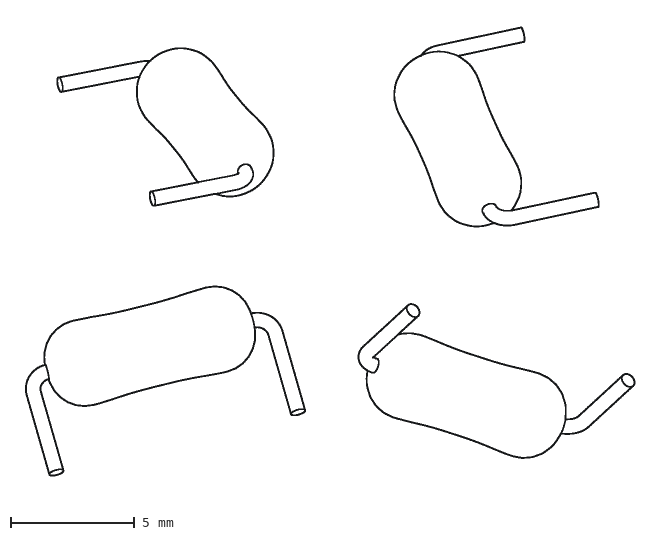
import math

import cadquery as cq

END_RADIUS = 1.76
WAIST_RADIUS = 1.65
BAND_WIDTH = 0.8
CAP_LENGTH = 1.5

LEAD_DIAMETER = 0.6
LEAD_SPAN = 10.72
LEAD_TIP_Y = -4.31

waist_end = BAND_WIDTH / 2
inner_band_end = waist_end + BAND_WIDTH
outer_band_end = inner_band_end + BAND_WIDTH
cap_start = outer_band_end + BAND_WIDTH
half_length = cap_start + CAP_LENGTH

lead_x = (LEAD_SPAN - LEAD_DIAMETER) / 2
bend_radius = lead_x - half_length


def flare_radii():
    """Body radius at the two ring edges on the flare between waist and shoulder.

    A hollow arc leaves the waist level and meets a bulging arc that ends level
    at the cap, so their shared point lies on the straight line between the ends.
    """
    hollow_length = outer_band_end - waist_end
    rise = (END_RADIUS - WAIST_RADIUS) * hollow_length / (cap_start - waist_end)
    hollow_radius = (hollow_length**2 + rise**2) / (2 * rise)
    inner_rise = hollow_radius - math.sqrt(hollow_radius**2 - BAND_WIDTH**2)
    return WAIST_RADIUS + inner_rise, WAIST_RADIUS + rise


def make_half_body():
    """The +X half of the barrel."""
    inner_band_radius, outer_band_radius = flare_radii()
    tip_radius = END_RADIUS - CAP_LENGTH
    profile = (
        cq.Workplane("XY")
        .lineTo(0, WAIST_RADIUS)
        .lineTo(waist_end, WAIST_RADIUS)
        .tangentArcPoint((inner_band_end, inner_band_radius), relative=False)
        .tangentArcPoint((outer_band_end, outer_band_radius), relative=False)
        .tangentArcPoint((cap_start, END_RADIUS), relative=False)
        .tangentArcPoint((half_length, tip_radius), relative=False)
        .lineTo(half_length, 0)
        .close()
    )
    return profile.revolve(360, (0, 0, 0), (1, 0, 0), clean=False)


def make_lead():
    """The +X lead, starting on the axis inside the end cap."""
    path = (
        cq.Workplane("XY")
        .moveTo(cap_start, 0)
        .lineTo(half_length, 0)
        .tangentArcPoint((lead_x, -bend_radius), relative=False)
        .lineTo(lead_x, LEAD_TIP_Y)
    )
    section = cq.Workplane("YZ", origin=(cap_start, 0, 0)).circle(LEAD_DIAMETER / 2)
    return section.sweep(path)


half = make_half_body().union(make_lead(), clean=False)
result = half.union(half.mirror("YZ"), clean=False)